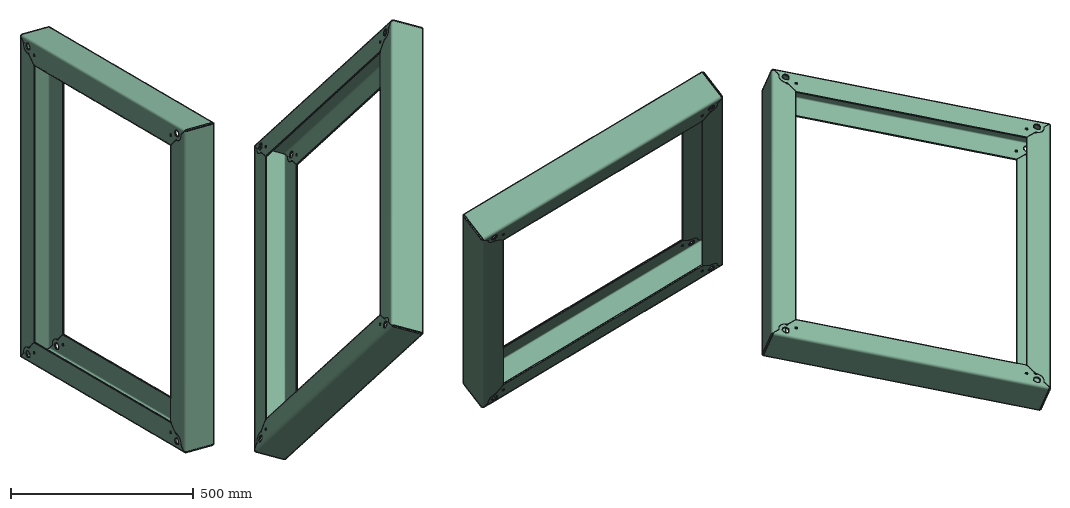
import cadquery as cq
import math

width = 800.0
depth = 100.0
height = 970.0

sheet = 4.0
bend_radius = 8.0
flange = 69.0
corner_notch = sheet

tab_radius = 20.0
stile_corner_radius = 29.0
mount_hole_diameter = 19.0
mount_hole_from_side = 40.0
mount_hole_from_end = 23.0
small_hole_diameter = 7.0
small_hole_from_side = 70.0
small_hole_from_end = 39.0


def channel(length):
    """C channel along X, web outside at Z = 0, flanges rising in +Z, centred on X and Y."""
    outer = (
        cq.Workplane("YZ")
        .rect(depth, 2 * flange)
        .extrude(length / 2, both=True)
        .edges("|X")
        .fillet(bend_radius)
    )
    cavity = (
        cq.Workplane("YZ")
        .rect(depth - 2 * sheet, 2 * (flange - sheet))
        .extrude(length / 2, both=True)
        .edges("|X")
        .fillet(bend_radius - sheet)
    )
    lower_half = cq.Workplane("XY").box(length, depth, flange, centered=(True, True, False))
    lower_half = lower_half.translate((0, 0, -flange))
    return outer.cut(cavity).intersect(lower_half).translate((0, 0, flange))


def corner_points(from_side, from_end):
    """Points at both ends of the lower rail, as (X, Z) with Z measured from the web."""
    x = width / 2 - from_side
    return [(-x, from_end), (x, from_end)]


def across_depth(sketch):
    """Extrude a sketch on the XZ plane through the whole depth of the frame."""
    return sketch.extrude(depth / 2, both=True)


def rail_envelope():
    """Mitred outline of the lower rail, widened at both ends by the round tabs."""
    half = width / 2
    mitred = across_depth(
        cq.Workplane("XZ").polyline(
            [(-half, 0), (half, 0), (half - flange, flange), (flange - half, flange)]
        ).close()
    )
    tab_centres = corner_points(mount_hole_from_side, mount_hole_from_end)
    tabs = across_depth(cq.Workplane("XZ").pushPoints(tab_centres).circle(tab_radius))
    return mitred.union(tabs)


def stile_envelope():
    """Outline removed from a stile end: the rail outline, eased where tab and inner mitre meet."""
    centre_sum = mount_hole_from_side + mount_hole_from_end
    centre_difference = mount_hole_from_side - mount_hole_from_end
    meeting = (centre_sum + math.sqrt(2 * tab_radius**2 - centre_difference**2)) / 2
    envelope = rail_envelope()
    for x, z in corner_points(meeting, meeting):
        corner = cq.selectors.NearestToPointSelector((x, 0, z))
        envelope = envelope.edges(corner).fillet(stile_corner_radius)
    return envelope


def rail_holes():
    """Mounting and small holes through both flanges at each end of the lower rail."""
    mount_points = corner_points(mount_hole_from_side, mount_hole_from_end)
    small_points = corner_points(small_hole_from_side, small_hole_from_end)
    mount = across_depth(cq.Workplane("XZ").pushPoints(mount_points).circle(mount_hole_diameter / 2))
    small = across_depth(cq.Workplane("XZ").pushPoints(small_points).circle(small_hole_diameter / 2))
    return mount.union(small)


def opposite(body):
    """Turn a body half a turn about the depth axis through the frame centre."""
    return body.rotate((0, 0, 0), (0, 1, 0), 180)


def make_rail():
    """Lower rail with its tabs and holes."""
    rail = channel(width - 2 * corner_notch).intersect(rail_envelope()).cut(rail_holes())
    return rail.translate((0, 0, -height / 2))


def make_stile():
    """Left upright, shaped at both ends to fit against the rails."""
    lower_envelope = stile_envelope().translate((0, 0, -height / 2))
    upright = channel(height - 2 * corner_notch).rotate((0, 0, 0), (0, 1, 0), 90)
    upright = upright.translate((-width / 2, 0, 0))
    return upright.cut(lower_envelope).cut(opposite(lower_envelope))


lower_rail = make_rail()
left_stile = make_stile()

bodies = []
for member in (lower_rail, left_stile):
    bodies.append(member.val())
    bodies.append(opposite(member).val())

result = cq.Compound.makeCompound(bodies)